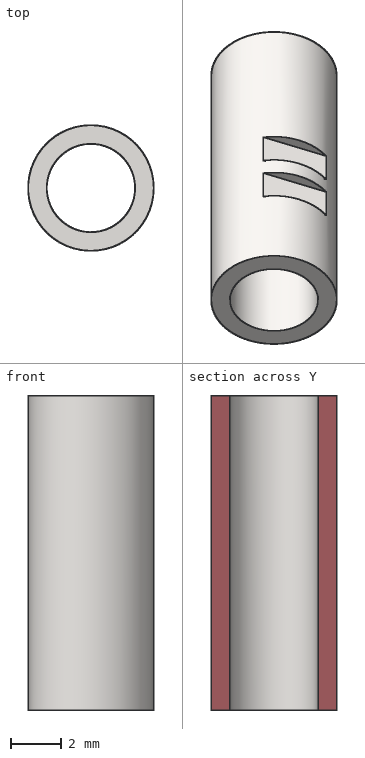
import cadquery as cq

length = 12.5
outer_diameter = 5
bore_diameter = 3.5
outer_radius = outer_diameter / 2

notch_depth = 0.4
notch_height = 1.3
notch_bottoms = (3.35, 5.35)


def make_tube():
    return cq.Workplane("XY").circle(outer_radius).circle(bore_diameter / 2).extrude(length)


def make_notch(bottom):
    """Block that cuts a chord-shaped flat into the +Y side of the tube."""
    return (
        cq.Workplane("XY")
        .box(outer_diameter, notch_depth, notch_height, centered=(True, False, False))
        .translate((0, outer_radius - notch_depth, bottom))
    )


result = make_tube()
for notch_bottom in notch_bottoms:
    result = result.cut(make_notch(notch_bottom))